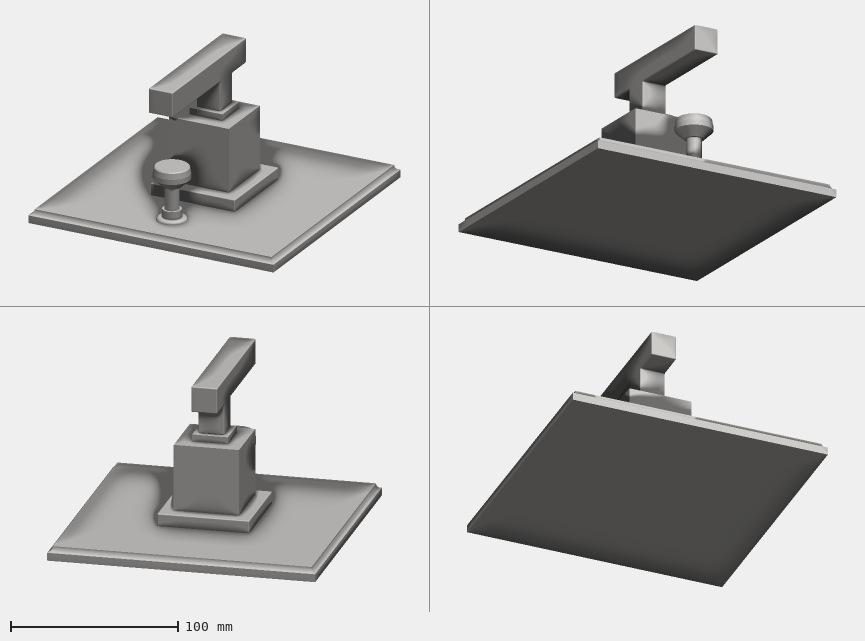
import cadquery as cq

plate_side = 165.1
plate_edge_height = 5.0
plate_height = 8.5
cove_width = 2.8
cove_radius = plate_height - plate_edge_height

rosette_side = 56.8
rosette_top = 16.2
block_side = 40.3
block_top = 57.6
collar_side = 22.1
collar_top = 61.9

lever_width = 16.0
lever_top = 97.2
lever_underside = lever_top - lever_width
lever_back = 25.8
lever_front = -70.0

edge_round = 0.7

knob_y = -55.1
flange_radius = 9.5
flange_height = 1.8
flange_top = plate_height + flange_height
flange_rounding = 2.5
flange_land = 0.7
sleeve_radius = 6.0
sleeve_top = 15.4
shaft_radius = 4.6
head_radius = 11.5
head_bottom = 30.0
rim_bottom = 35.3
rim_top = 38.6
knob_top = 43.0
crown_radius = 10.9
crown_chamfer = 0.7


def square_block(side, bottom, top):
    """Square prism centred on the Z axis."""
    return cq.Workplane("XY").workplane(offset=bottom).rect(side, side).extrude(top - bottom)


def coved_bar(plane_name):
    """Plate cross-section, coved on both upper edges, extruded along the plate."""
    half_side = plate_side / 2
    half_face = half_side - cove_width
    return (
        cq.Workplane(plane_name)
        .moveTo(-half_side, 0)
        .lineTo(half_side, 0)
        .lineTo(half_side, plate_edge_height)
        .radiusArc((half_face, plate_height), cove_radius)
        .lineTo(-half_face, plate_height)
        .radiusArc((-half_side, plate_edge_height), cove_radius)
        .close()
        .extrude(half_side, both=True)
    )


def wall_plate():
    """Two crossed bars meet in a plate whose coved edges are mitred at the corners."""
    return coved_bar("XZ").intersect(coved_bar("YZ"))


def rosette():
    body = square_block(rosette_side, plate_height, rosette_top)
    return body.edges("|Z or >Z").fillet(edge_round)


def lever():
    arm_length = lever_back - lever_front
    arm = (
        cq.Workplane("XY")
        .workplane(offset=lever_underside)
        .center(0, (lever_back + lever_front) / 2)
        .rect(lever_width, arm_length)
        .extrude(lever_width)
    )
    post = square_block(lever_width, collar_top, lever_top)
    return arm.union(post).edges().fillet(edge_round)


def knob():
    """Turned knob: rounded foot flange, stepped stem and a conical head with a chamfered crown."""
    profile = (
        cq.Workplane("XZ", origin=(0, knob_y, 0))
        .moveTo(0, plate_height)
        .lineTo(flange_radius, plate_height)
        .radiusArc((sleeve_radius + flange_land, flange_top), -flange_rounding)
        .lineTo(sleeve_radius, flange_top)
        .lineTo(sleeve_radius, sleeve_top)
        .lineTo(shaft_radius, sleeve_top)
        .lineTo(shaft_radius, head_bottom)
        .lineTo(sleeve_radius, head_bottom)
        .lineTo(head_radius, rim_bottom)
        .lineTo(head_radius, rim_top)
        .lineTo(crown_radius, knob_top - crown_chamfer)
        .lineTo(crown_radius - crown_chamfer, knob_top)
        .lineTo(0, knob_top)
        .close()
    )
    return profile.revolve(360, (0, 0, 0), (0, 1, 0))


result = (
    wall_plate()
    .union(rosette())
    .union(square_block(block_side, rosette_top, block_top))
    .union(square_block(collar_side, block_top, collar_top))
    .union(lever())
    .union(knob())
)